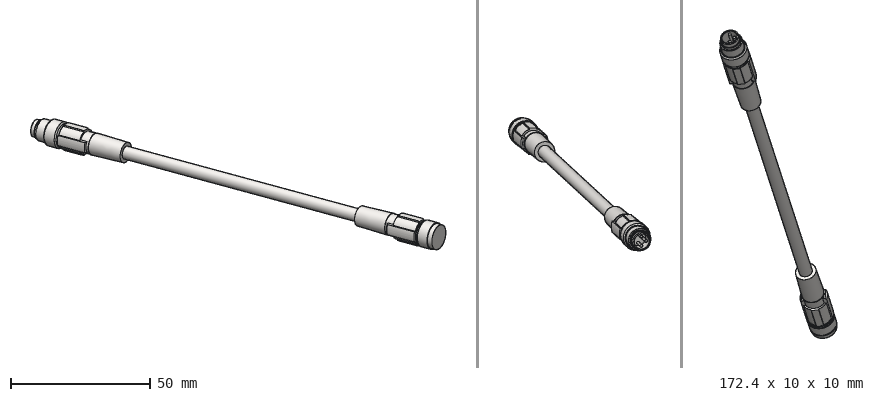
import cadquery as cq
import math

total_length = 172.4
cable_radius = 2.4
nut_radius = 5.0
overlap = 0.3

plug_tip_radius = 3.3
plug_tip_length = 1.7
plug_ring_radius = 3.6
plug_shoulder = 2.8
plug_nut_start = 6.4
plug_nut_end = 11.7
nut_chamfer_length = 0.5
nut_chamfer_depth = 0.5

recess_radius = 2.8
recess_depth = 5.2
pin_radius = 0.5
pin_circle_radius = 1.7
pin_setback = 0.3
pin_angles = (0, 90, 180)

socket_nut_start = 166.2
socket_nut_end = 170.5
collar_groove_width = 0.5
collar_groove_radius = 4.1

barrel_radius = 4.1
neck_radius = 4.0
collar_radius = 4.7
grip_radius = 4.7
plug_grip_front = 12.5
plug_grip_rear = 21.5
plug_sleeve_start = 25.2
plug_sleeve_end = 38.6
socket_grip_front = 165.0
socket_grip_rear = 155.5
socket_sleeve_start = 151.9
socket_sleeve_end = 138.8
sleeve_front_radius = 4.1
sleeve_end_radius = 3.8

rib_reach = nut_radius
rib_overhang = 2.5
rib_half_height = 2.0
rib_flat_half_height = 0.3
rib_curve_radius = 5.0
socket_rib_chamfer = 0.5
pad_half_width = 1.4
pad_end_height = 4.8
pad_ramp = 0.9


def turned(outline):
    """Revolve an (x, radius) outline, closed along the X axis."""
    first_x = outline[0][0]
    last_x = outline[-1][0]
    points = [(first_x, 0)] + outline + [(last_x, 0)]
    return cq.Workplane("XY").polyline(points).close().revolve(360, (0, 0, 0), (1, 0, 0))


def plug_front():
    """Stepped tip, barrel, chamfered nut and collar of the plug."""
    nut_edge_radius = nut_radius - nut_chamfer_depth
    return turned([
        (0, plug_tip_radius),
        (plug_tip_length, plug_tip_radius),
        (plug_tip_length, plug_ring_radius),
        (plug_shoulder, plug_ring_radius),
        (plug_shoulder, barrel_radius),
        (plug_nut_start, barrel_radius),
        (plug_nut_start, nut_edge_radius),
        (plug_nut_start + nut_chamfer_length, nut_radius),
        (plug_nut_end - nut_chamfer_length, nut_radius),
        (plug_nut_end, nut_edge_radius),
        (plug_grip_front + overlap, nut_edge_radius),
    ])


def socket_front():
    """Groove, collar, nut and end ring of the socket."""
    groove_end = socket_grip_front + collar_groove_width
    return turned([
        (socket_grip_front - overlap, collar_groove_radius),
        (groove_end, collar_groove_radius),
        (groove_end, collar_radius),
        (socket_nut_start, collar_radius),
        (socket_nut_start, nut_radius),
        (socket_nut_end, nut_radius),
        (socket_nut_end, collar_radius),
        (total_length, collar_radius),
    ])


def grip_and_sleeve(front, rear, sleeve_start, sleeve_end):
    """Round grip, plain neck and tapered strain relief, from the nut to the cable."""
    return turned([
        (front, grip_radius),
        (rear, grip_radius),
        (rear, neck_radius),
        (sleeve_start, neck_radius),
        (sleeve_start, sleeve_front_radius),
        (sleeve_end, sleeve_end_radius),
    ])


def side_ribs(front, end):
    """Pair of crowned ribs on the +Y and -Y sides, made as one bar through the grip."""
    rise = rib_half_height - rib_flat_half_height
    rib_edge = rib_reach - rib_curve_radius + math.sqrt(rib_curve_radius**2 - rise**2)
    middle_angle = math.asin(rise / rib_curve_radius) / 2
    middle_y = rib_reach - rib_curve_radius * (1 - math.cos(middle_angle))
    middle_z = rib_flat_half_height + rib_curve_radius * math.sin(middle_angle)
    return (
        cq.Workplane("YZ", origin=(front, 0, 0))
        .moveTo(-rib_edge, rib_half_height)
        .lineTo(rib_edge, rib_half_height)
        .threePointArc((middle_y, middle_z), (rib_reach, rib_flat_half_height))
        .lineTo(rib_reach, -rib_flat_half_height)
        .threePointArc((middle_y, -middle_z), (rib_edge, -rib_half_height))
        .lineTo(-rib_edge, -rib_half_height)
        .threePointArc((-middle_y, -middle_z), (-rib_reach, -rib_flat_half_height))
        .lineTo(-rib_reach, rib_flat_half_height)
        .threePointArc((-middle_y, middle_z), (-rib_edge, rib_half_height))
        .close()
        .extrude(end - front)
    )


def top_and_bottom_pads(front, rear):
    """Pair of flat pads with ramped ends on +Z and -Z, made as one bar through the grip."""
    ramp = math.copysign(pad_ramp, rear - front)
    upper = [
        (front, pad_end_height),
        (front + ramp, rib_reach),
        (rear - ramp, rib_reach),
        (rear, pad_end_height),
    ]
    lower = [(x, -z) for x, z in reversed(upper)]
    return cq.Workplane("XZ").polyline(upper + lower).close().extrude(pad_half_width, both=True)


def plug_recess():
    return cq.Workplane("YZ").circle(recess_radius).extrude(recess_depth)


def contact_pins():
    centres = []
    for degrees in pin_angles:
        angle = math.radians(degrees)
        centres.append((-pin_circle_radius * math.sin(angle), pin_circle_radius * math.cos(angle)))
    return (
        cq.Workplane("YZ", origin=(pin_setback, 0, 0))
        .pushPoints(centres)
        .circle(pin_radius)
        .extrude(recess_depth - pin_setback + overlap)
    )


plug_ribs = side_ribs(plug_grip_front, plug_grip_rear + rib_overhang)
socket_ribs = side_ribs(socket_grip_front, socket_grip_rear - rib_overhang)
socket_ribs = socket_ribs.faces("<X").edges("|Z").chamfer(socket_rib_chamfer)

cable = turned([
    (plug_sleeve_end - overlap, cable_radius),
    (socket_sleeve_end + overlap, cable_radius),
])

result = (
    plug_front()
    .cut(plug_recess())
    .union(contact_pins())
    .union(grip_and_sleeve(plug_grip_front, plug_grip_rear, plug_sleeve_start, plug_sleeve_end))
    .union(plug_ribs)
    .union(top_and_bottom_pads(plug_grip_front, plug_grip_rear))
    .union(cable)
    .union(grip_and_sleeve(socket_grip_front, socket_grip_rear, socket_sleeve_start, socket_sleeve_end))
    .union(socket_ribs)
    .union(top_and_bottom_pads(socket_grip_front, socket_grip_rear))
    .union(socket_front())
)